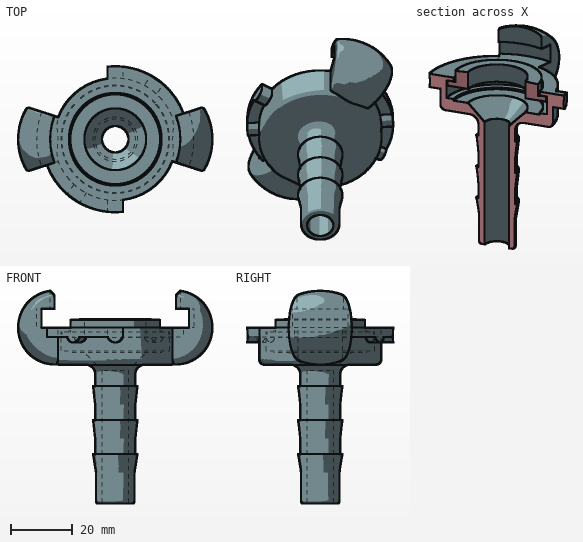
import cadquery as cq
import math

tail_diameter = 12.5
neck_diameter = 13.0
barb_diameter = 14.4
tail_edge_radius = 0.9
barb_bottom = 10.05
barb_height = 6.0
barb_pitch = 10.95
barb_count = 3
neck_fillet = 2.95

head_radius = 19.8
head_bottom = 44.85
head_top = 56.9
head_edge = 1.85
bore_diameter = 8.5
mouth_diameter = 20.0
cone_bottom = 43.1

flange_diameter = 47.2
flange_thickness = 3.0
stop_radius = 2.55
stop_axis_drop = 2.3
stop_angles = (0, -35.3)

claw_axis_x = 19.4
claw_reach = 31.4
claw_crown_radius = 19.3
claw_half_angle = 18.0
claw_side_offset = 1.2
claw_edge_fillet = 0.95
lip_radius = 21.0
lip_bottom = 62.9
slot_radius = 25.35

ring_diameter = 29.0
ring_bottom = 53.6
ring_rim_top = 59.4
ring_mouth_top = 59.7
ring_flange_diameter = 34.5
seat_diameter = 30.0
seat_floor = 48.85
groove_diameter = 35.0
groove_bottom = 49.4
groove_top = 55.4

claw_radius = claw_reach - claw_axis_x
claw_top = head_top + claw_radius
flange_radius = flange_diameter / 2
flange_bottom = head_top - flange_thickness
stop_axis_z = head_top - stop_axis_drop
hook_angles = (0, 180)


def disc(radius, bottom, top):
    """Upright cylinder on the part axis."""
    return cq.Workplane("XY").workplane(offset=bottom).circle(radius).extrude(top - bottom)


def make_stem_and_head():
    """Turned profile: rounded tail, tapered barbs, neck and head."""
    tail_r = tail_diameter / 2
    neck_r = neck_diameter / 2
    fillet_mid = neck_fillet * math.sqrt(0.5)
    profile = (
        cq.Workplane("XZ")
        .lineTo(tail_r - tail_edge_radius, 0)
        .radiusArc((tail_r, tail_edge_radius), -tail_edge_radius)
        .lineTo(tail_r, barb_bottom)
    )
    for i in range(barb_count):
        barb_top = barb_bottom + i * barb_pitch + barb_height
        if i > 0:
            profile = profile.lineTo(neck_r, barb_top - barb_height)
        profile = profile.lineTo(barb_diameter / 2, barb_top).lineTo(neck_r, barb_top)
    return (
        profile.lineTo(neck_r, head_bottom - neck_fillet)
        .threePointArc(
            (neck_r + neck_fillet - fillet_mid, head_bottom - neck_fillet + fillet_mid),
            (neck_r + neck_fillet, head_bottom),
        )
        .lineTo(head_radius - head_edge, head_bottom)
        .radiusArc((head_radius, head_bottom + head_edge), -head_edge)
        .lineTo(head_radius, head_top)
        .lineTo(0, head_top)
        .close()
        .revolve(360, (0, 0), (0, 1))
    )


def make_stop():
    """U-shaped stop along -Y, rounded beneath and running up to the head face."""
    web_height = head_top - stop_axis_z
    length = flange_radius + stop_radius
    stop = cq.Workplane("XZ").center(0, stop_axis_z).circle(stop_radius).extrude(length)
    web = (
        cq.Workplane("XZ")
        .center(0, stop_axis_z + web_height / 2)
        .rect(2 * stop_radius, web_height)
        .extrude(length)
    )
    return stop.union(web).intersect(disc(2 * flange_radius, head_bottom, head_top))


def make_flange_sector():
    """Flange sector from the stop at -Y round to the claw at -X, with its stops."""
    sector = (
        cq.Workplane("XY")
        .workplane(offset=flange_bottom)
        .rect(-2 * flange_radius, -2 * flange_radius, centered=False)
        .extrude(flange_thickness)
    )
    for angle in stop_angles:
        sector = sector.union(make_stop().rotate((0, 0, 0), (0, 0, 1), angle))
    return sector.intersect(disc(flange_radius, head_bottom, head_top))


def make_claw():
    """Crowned claw at +X, wedge-sided, hollowed to a hook above the head."""
    slope = math.tan(math.radians(claw_half_angle))
    half_width = claw_side_offset + slope * claw_reach
    crown_sag = claw_crown_radius - math.sqrt(claw_crown_radius**2 - half_width**2)
    barrel = (
        cq.Workplane("XY")
        .workplane(offset=head_top)
        .moveTo(claw_axis_x, -half_width)
        .lineTo(claw_reach - crown_sag, -half_width)
        .threePointArc((claw_reach, 0), (claw_reach - crown_sag, half_width))
        .lineTo(claw_axis_x, half_width)
        .close()
        .revolve(360, (claw_axis_x, 0), (claw_axis_x, 1))
    )
    inner_x = head_radius / 2
    wedge = (
        cq.Workplane("XY")
        .workplane(offset=head_bottom)
        .moveTo(inner_x, -claw_side_offset - slope * inner_x)
        .lineTo(claw_reach, -half_width)
        .lineTo(claw_reach, half_width)
        .lineTo(inner_x, claw_side_offset + slope * inner_x)
        .close()
        .extrude(claw_top - head_bottom)
    )
    claw = barrel.intersect(wedge)
    rim_finder = cq.selectors.BoxSelector(
        (claw_axis_x, -claw_reach, head_bottom),
        (claw_reach, claw_reach, claw_top),
    )
    claw = claw.edges("not(#Z)").edges(rim_finder).fillet(claw_edge_fillet)
    claw = claw.cut(disc(lip_radius, head_top, claw_top))
    return claw.cut(disc(slot_radius, head_top, lip_bottom))


def make_coupling():
    """Head and hose tail with claws, flange, through bore and ring seat."""
    coupling = make_stem_and_head()
    sector = make_flange_sector()
    claw = make_claw()
    for angle in hook_angles:
        coupling = coupling.union(sector.rotate((0, 0, 0), (0, 0, 1), angle))
        coupling = coupling.union(claw.rotate((0, 0, 0), (0, 0, 1), angle))
    bore_radius = bore_diameter / 2
    mouth_radius = mouth_diameter / 2
    bore = (
        cq.Workplane("XZ")
        .lineTo(bore_radius, 0)
        .lineTo(bore_radius, cone_bottom)
        .lineTo(mouth_radius, seat_floor)
        .lineTo(0, seat_floor)
        .close()
        .revolve(360, (0, 0), (0, 1))
    )
    seat = disc(seat_diameter / 2, seat_floor, head_top)
    groove = disc(groove_diameter / 2, groove_bottom, groove_top)
    return coupling.cut(bore).cut(seat).cut(groove)


def make_sealing_ring():
    """Turned ring whose top rises slightly to its mouth; its flange bears on the groove roof."""
    mouth_radius = mouth_diameter / 2
    ring_radius = ring_diameter / 2
    flange_edge = ring_flange_diameter / 2
    return (
        cq.Workplane("XZ")
        .moveTo(mouth_radius, ring_bottom)
        .lineTo(flange_edge, ring_bottom)
        .lineTo(flange_edge, groove_top)
        .lineTo(ring_radius, groove_top)
        .lineTo(ring_radius, ring_rim_top)
        .lineTo(mouth_radius, ring_mouth_top)
        .close()
        .revolve(360, (0, 0), (0, 1))
    )


coupling = make_coupling()
sealing_ring = make_sealing_ring()
result = cq.Compound.makeCompound([coupling.val(), sealing_ring.val()])